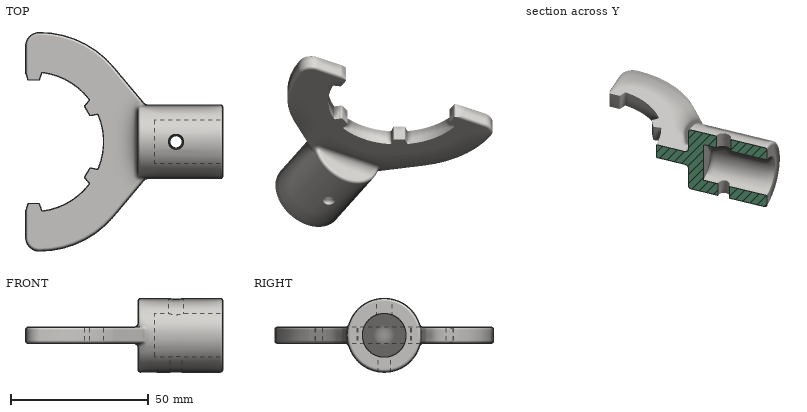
import cadquery as cq
import math

plate_thickness = 6.0
half_span = 39.9
jaw_radius = 25.5
jaw_end_x = -2.95
corner_radius = 5.0
back_radius = 35.3
back_angle = 50.0

tooth_tip_radius = 22.5
tooth_tip_width = 4.15
tooth_root_width = 6.1
tooth_edge_radius = 0.5
tooth_angles = (-90, -30, 30, 90)

collar_diameter = 27.0
collar_length = 31.0
collar_end_x = 69.1
collar_start_x = collar_end_x - collar_length
socket_diameter = 16.0
socket_depth = 25.0

pin_x = 52.0
pin_diameter = 5.5
pin_tail_diameter = 4.5

edge_radius = 1.0
joint_radius = 1.5


def make_jaw_blank():
    """Crescent outline, symmetric about the X axis, before the opening is cut."""
    angle = math.radians(back_angle)
    arc_x = jaw_end_x + corner_radius
    arc_y = half_span - back_radius

    def back_point(turn):
        return (arc_x + back_radius * math.sin(turn), arc_y + back_radius * math.cos(turn))

    tangent_x, tangent_y = back_point(angle)
    middle_x, middle_y = back_point(angle / 2)
    inner_y = collar_diameter / 4
    inner_x = tangent_x + (tangent_y - inner_y) / math.tan(angle)
    corner_diagonal = corner_radius * (1 - math.sqrt(0.5))
    outline = (
        cq.Workplane("XY")
        .workplane(offset=-plate_thickness / 2)
        .moveTo(jaw_end_x, -half_span + corner_radius)
        .lineTo(jaw_end_x, half_span - corner_radius)
        .threePointArc((jaw_end_x + corner_diagonal, half_span - corner_diagonal), (arc_x, half_span))
        .threePointArc((middle_x, middle_y), (tangent_x, tangent_y))
        .lineTo(inner_x, inner_y)
        .lineTo(inner_x, -inner_y)
        .lineTo(tangent_x, -tangent_y)
        .threePointArc((middle_x, -middle_y), (arc_x, -half_span))
        .threePointArc((jaw_end_x + corner_diagonal, -half_span + corner_diagonal),
                       (jaw_end_x, -half_span + corner_radius))
        .close()
    )
    return outline.extrude(plate_thickness)


def make_collar():
    """Solid round collar with softened rims."""
    collar = (
        cq.Workplane("YZ", origin=(collar_start_x, 0, 0))
        .circle(collar_diameter / 2)
        .extrude(collar_length)
    )
    return collar.faces("<X or >X").edges().fillet(edge_radius)


def make_tooth(angle):
    """Tapered tooth, reaching from its tip to just behind the jaw circle."""
    taper = (tooth_root_width - tooth_tip_width) / (jaw_radius - tooth_tip_radius)
    overlap = 0.4
    root_radius = jaw_radius + overlap
    root_width = tooth_root_width + taper * overlap
    return (
        cq.Workplane("XY")
        .workplane(offset=-plate_thickness / 2)
        .polyline([
            (tooth_tip_radius, -tooth_tip_width / 2),
            (root_radius, -root_width / 2),
            (root_radius, root_width / 2),
            (tooth_tip_radius, tooth_tip_width / 2),
        ])
        .close()
        .extrude(plate_thickness)
        .rotate((0, 0, 0), (0, 0, 1), angle)
    )


def make_jaw_opening():
    """Round opening less its teeth, with all tooth corners eased."""
    opening = (
        cq.Workplane("XY")
        .workplane(offset=-plate_thickness / 2)
        .circle(jaw_radius)
        .extrude(plate_thickness)
        .rotate((0, 0, 0), (0, 0, 1), tooth_angles[0])
    )
    for angle in tooth_angles:
        opening = opening.cut(make_tooth(angle))
    return opening.edges("|Z").fillet(tooth_edge_radius)


def make_pin_hole():
    """Stepped hole along Z through both walls of the collar."""
    reach = collar_diameter
    centre = cq.Workplane("XY", origin=(pin_x, 0, 0))
    upper = centre.circle(pin_diameter / 2).extrude(reach)
    lower = centre.circle(pin_tail_diameter / 2).extrude(-reach)
    return upper.union(lower)


def blend_joint(body):
    """Fillet the edges where the plate runs into the collar."""
    seam_box = cq.selectors.BoxSelector(
        (collar_start_x - edge_radius / 2, -half_span, -plate_thickness / 2 - edge_radius / 2),
        (pin_x, half_span, plate_thickness / 2 + edge_radius / 2),
        boundingbox=True,
    )
    return body.edges(seam_box).fillet(joint_radius)


jaw_blank = make_jaw_blank().faces("<Z or >Z").edges("not >X").fillet(edge_radius)
collar = make_collar()
body = blend_joint(jaw_blank.union(collar))
socket = (
    cq.Workplane("YZ", origin=(collar_end_x, 0, 0))
    .circle(socket_diameter / 2)
    .extrude(-socket_depth)
)
result = body.cut(make_jaw_opening()).cut(socket).cut(make_pin_hole())